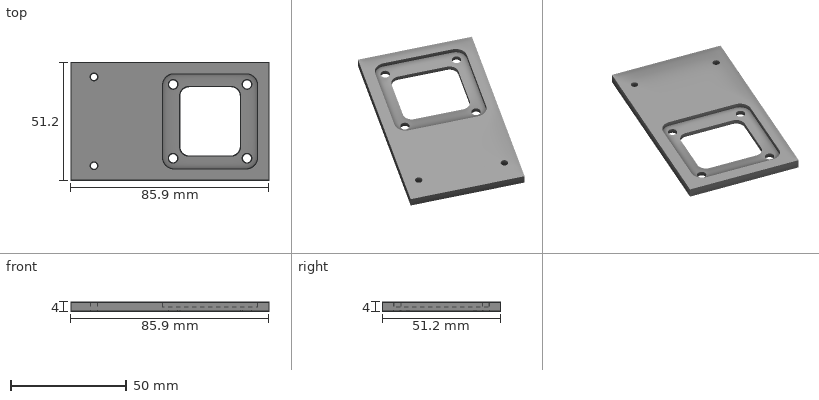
import cadquery as cq

PLATE_LENGTH = 85.87
PLATE_WIDTH = 51.2
PLATE_THICKNESS = 4.0

RECESS_MARGIN = 5.0
RECESS_SIDE = PLATE_WIDTH - 2 * RECESS_MARGIN
RECESS_DEPTH = 2.0
RECESS_CORNER_RADIUS = 5.0
RECESS_CENTER_X = PLATE_LENGTH - RECESS_MARGIN - RECESS_SIDE / 2
CENTER_Y = PLATE_WIDTH / 2

WINDOW_LENGTH = 26.2
WINDOW_WIDTH = 30.0
WINDOW_CORNER_RADIUS = 4.0

CORNER_HOLE_DIAMETER = 4.0
CORNER_HOLE_SPACING = 32.0

END_HOLE_DIAMETER = 3.17
END_HOLE_SPACING = 38.5
END_HOLE_X = 10.0


def rounded_block(length, width, radius, bottom_z):
    """Block with rounded vertical edges, centred on the recess and reaching the top face."""
    return (
        cq.Workplane("XY", origin=(RECESS_CENTER_X, CENTER_Y, bottom_z))
        .rect(length, width)
        .extrude(PLATE_THICKNESS - bottom_z)
        .edges("|Z")
        .fillet(radius)
    )


def through_holes(center_x, spacing_x, spacing_y, count_x, diameter):
    """Cylinders through the plate: count_x columns of two, centred across the plate width."""
    return (
        cq.Workplane("XY", origin=(center_x, CENTER_Y, 0))
        .rarray(spacing_x, spacing_y, count_x, 2)
        .circle(diameter / 2)
        .extrude(PLATE_THICKNESS)
    )


plate = cq.Workplane("XY").box(PLATE_LENGTH, PLATE_WIDTH, PLATE_THICKNESS, centered=False)
recess = rounded_block(RECESS_SIDE, RECESS_SIDE, RECESS_CORNER_RADIUS, PLATE_THICKNESS - RECESS_DEPTH)
window = rounded_block(WINDOW_LENGTH, WINDOW_WIDTH, WINDOW_CORNER_RADIUS, 0)
corner_holes = through_holes(
    RECESS_CENTER_X, CORNER_HOLE_SPACING, CORNER_HOLE_SPACING, 2, CORNER_HOLE_DIAMETER
)
end_holes = through_holes(END_HOLE_X, END_HOLE_SPACING, END_HOLE_SPACING, 1, END_HOLE_DIAMETER)

result = plate.cut(recess).cut(window).cut(corner_holes).cut(end_holes)